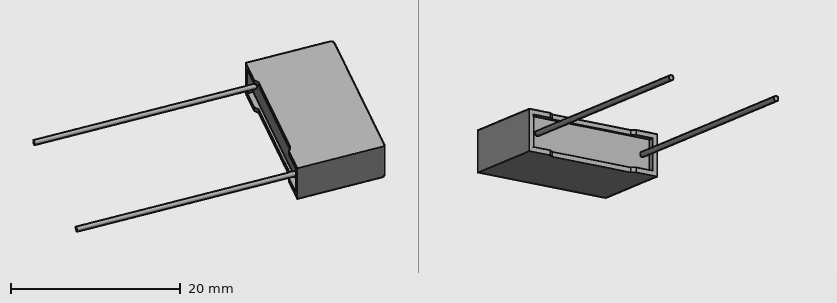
import cadquery as cq

total_length = 38.1
case_width = 18.3
case_height = 5.22
case_depth = 11.1
wall = 0.6
back_edge_radius = 0.5

relief_inset = 3.0
relief_depth = 0.4
relief_ramp = 0.5

resin_recess = 0.72
lead_diameter = 0.65
lead_inset = 1.65

cavity_width = case_width - 2 * wall
cavity_height = case_height - 2 * wall
cavity_depth = case_depth - wall
lead_length = total_length - case_depth + resin_recess
lead_offset = case_width / 2 - lead_inset


def block(width, height, front, back):
    """Box centred on the Y axis, reaching from Y = front to Y = back."""
    return cq.Workplane("XY").box(width, back - front, height).translate((0, (front + back) / 2, 0))


def make_relief():
    """Tool for the mouth relief: a trapezoid with sloped ends, cut through both broad walls."""
    outer_x = case_width / 2 - relief_inset
    inner_x = outer_x - relief_ramp
    return (
        cq.Workplane("XY")
        .moveTo(-outer_x, 0)
        .lineTo(-inner_x, relief_depth)
        .lineTo(inner_x, relief_depth)
        .lineTo(outer_x, 0)
        .close()
        .extrude(case_height / 2, both=True)
    )


def make_case():
    """Open box with rounded back edges, a cavity and a relieved mouth."""
    shell = block(case_width, case_height, 0, case_depth)
    shell = shell.faces(">Y").edges().fillet(back_edge_radius)
    shell = shell.cut(block(cavity_width, cavity_height, 0, cavity_depth))
    return shell.cut(make_relief()).solids()


def make_resin():
    """Potting block that fills the cavity up to just short of the mouth."""
    return block(cavity_width, cavity_height, resin_recess, cavity_depth)


def make_lead(x):
    """Straight round wire starting on the resin face."""
    wire = cq.Workplane("XZ").circle(lead_diameter / 2).extrude(lead_length)
    return wire.translate((x, resin_recess, 0))


case = make_case()
resin = make_resin()
leads = [make_lead(side * lead_offset) for side in (-1, 1)]

result = cq.Compound.makeCompound([case.val(), resin.val(), *[lead.val() for lead in leads]])